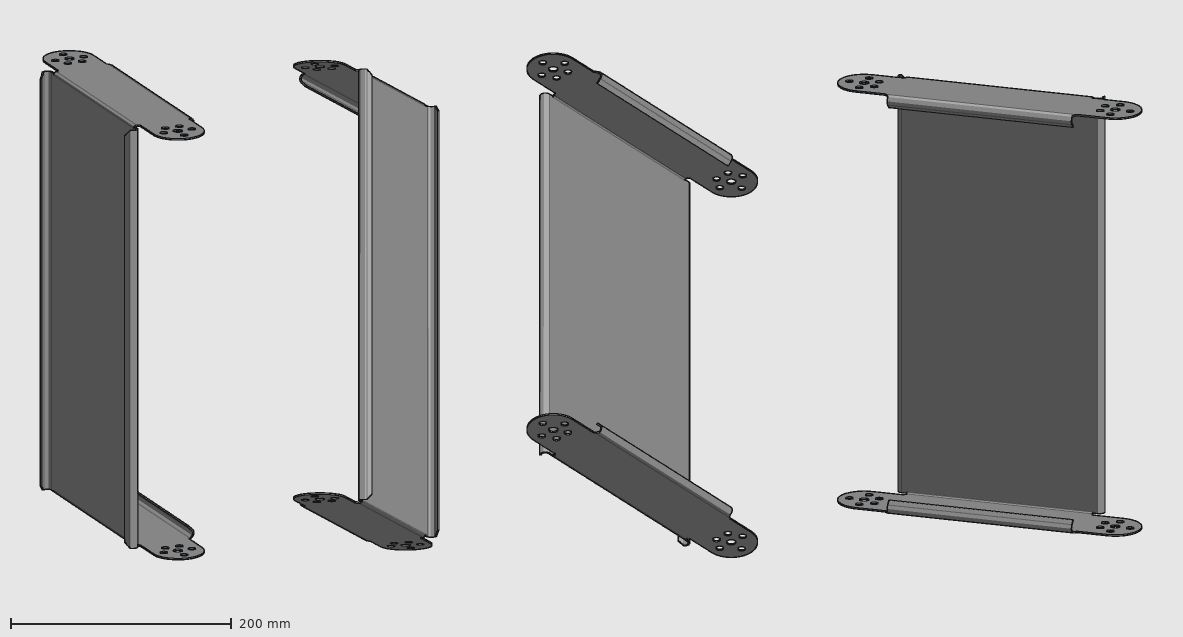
import cadquery as cq
import math

height = 400.0
plate_length = 288.0
thickness = 1.5

plate_width = 48.0
plate_edge_y = plate_width / 2
plate_top = height / 2
plate_bottom = plate_top - thickness

pivot_x = plate_length / 2 - plate_width / 2
pivot_hole_diameter = 8.5
ring_hole_diameter = 7.0
ring_radius = 14.0
ring_angles = (-90, -30, 30, 90, 180)

hem_radius = 5.0
lip_length = 5.0
lip_angle = -45
diagonal = math.sqrt(0.5)

plate_hem_half = 88.0
plate_hem_y = 30.5
plate_hem_flare = 3.5

web_inner_y = -28.5
web_outer_y = web_inner_y - thickness
web_half_width = 99.0
web_hem_top = 198.5

fold_half = 89.0
fold_radius = 3.0
fold_y = web_outer_y + fold_radius
fold_z = plate_top - fold_radius
fold_flare = 2.0


def polar(radius, angle):
    """Point at an angle in degrees around the origin."""
    turn = math.radians(angle)
    return (radius * math.cos(turn), radius * math.sin(turn))


def hem_profile(plane, start, reach):
    """Sheet section with its outside face on the local x axis, from start to the furthest
    reach of its hem, which curls towards local -y."""
    center_x = reach - hem_radius
    inner_radius = hem_radius - thickness
    bend_middle = (90 + lip_angle) / 2

    def on_bend(radius, angle):
        x, y = polar(radius, angle)
        return (center_x + x, y - hem_radius)

    def lip_end(radius):
        x, y = on_bend(radius, lip_angle)
        return (x - lip_length * diagonal, y - lip_length * diagonal)

    return (
        cq.Workplane(plane)
        .moveTo(start, 0)
        .lineTo(center_x, 0)
        .threePointArc(on_bend(hem_radius, bend_middle), on_bend(hem_radius, lip_angle))
        .lineTo(*lip_end(hem_radius))
        .lineTo(*lip_end(inner_radius))
        .lineTo(*on_bend(inner_radius, lip_angle))
        .threePointArc(on_bend(inner_radius, bend_middle), on_bend(inner_radius, 90))
        .lineTo(start, -thickness)
        .close()
    )


def cross_plane(x, y, z):
    """Plane across X, with local x along +Y and local y along +Z."""
    return cq.Plane(origin=(x, y, z), xDir=(0, 1, 0), normal=(1, 0, 0))


def flare_prism(half_length, edge_y, size, depth):
    """Upright prism below the plate top, flaring at 45 degrees into the plate edge."""
    tip_y = edge_y + math.copysign(size, edge_y)
    return (
        cq.Workplane("XY", origin=(0, 0, plate_top))
        .polyline(
            [
                (-half_length - size, edge_y),
                (half_length + size, edge_y),
                (half_length, tip_y),
                (-half_length, tip_y),
            ]
        )
        .close()
        .extrude(-depth)
    )


def make_plate():
    """Upper end plate: rounded bar with its holes and the tab leading to the fold."""
    base = cq.Workplane("XY", origin=(0, 0, plate_bottom))
    bar = base.slot2D(plate_length, plate_width).extrude(thickness)
    tab = base.center(0, fold_y / 2).rect(2 * fold_half, -fold_y).extrude(thickness)
    tab_flare = flare_prism(fold_half, -plate_edge_y, fold_flare, thickness)

    ring = [polar(ring_radius, angle) for angle in ring_angles]
    end_center = base.center(-pivot_x, 0)
    pivot_hole = end_center.circle(pivot_hole_diameter / 2).extrude(thickness)
    ring_holes = end_center.pushPoints(ring).circle(ring_hole_diameter / 2).extrude(thickness)
    holes = pivot_hole.union(ring_holes)
    return bar.union(tab).union(tab_flare).cut(holes).cut(holes.mirror("YZ"))


def make_plate_hem():
    """Hem along the edge of the upper end plate, flared where it meets the bar."""

    def hem(half_length):
        section = cross_plane(-half_length, 0, plate_top)
        return hem_profile(section, 0, plate_hem_y).extrude(2 * half_length)

    prism = flare_prism(plate_hem_half, plate_edge_y, plate_hem_flare, hem_radius)
    flare = hem(plate_hem_half + plate_hem_flare).intersect(prism)
    return hem(plate_hem_half).union(flare)


def make_fold():
    """Quarter-round fold between the web and the upper end plate."""
    inner_radius = fold_radius - thickness
    return (
        cq.Workplane(cross_plane(-fold_half, fold_y, fold_z))
        .moveTo(0, fold_radius)
        .threePointArc(polar(fold_radius, 135), (-fold_radius, 0))
        .lineTo(-inner_radius, 0)
        .threePointArc(polar(inner_radius, 135), (0, inner_radius))
        .close()
        .extrude(2 * fold_half)
    )


def make_side_hem():
    """Upper half of the hem on the +X side of the web, with the lip corner cut off."""
    section = cq.Plane(origin=(0, web_inner_y, 0), xDir=(1, 0, 0), normal=(0, 0, 1))
    hem = hem_profile(section, fold_half, web_half_width).extrude(web_hem_top)

    lip_start_x, lip_start_y = polar(hem_radius, lip_angle)
    lip_plane = cq.Plane(
        origin=(
            web_half_width - hem_radius + lip_start_x,
            web_inner_y - hem_radius + lip_start_y,
            web_hem_top,
        ),
        xDir=(-1, -1, 0),
        normal=(1, -1, 0),
    )
    corner = (
        cq.Workplane(lip_plane)
        .polyline([(0, 0), (lip_length, 0), (lip_length, lip_length)])
        .close()
        .extrude(-thickness)
    )
    return hem.cut(corner)


def make_web():
    """Upper half of the web with both side hems."""
    panel = (
        cq.Workplane("XY")
        .center(0, (web_inner_y + web_outer_y) / 2)
        .rect(2 * fold_half, thickness)
        .extrude(fold_z)
    )
    side_hem = make_side_hem()
    return panel.union(side_hem).union(side_hem.mirror("YZ"))


upper_half = make_plate().union(make_plate_hem()).union(make_fold()).union(make_web())
result = upper_half.union(upper_half.mirror("XY")).clean()